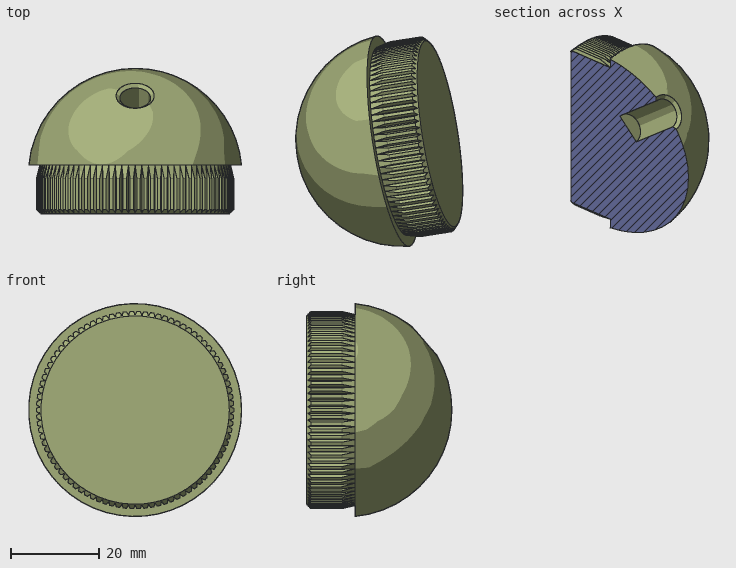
import cadquery as cq
import math

rim_radius = 24.15
dome_height = 22.0
plug_length = 11.0

tooth_tip_radius = 22.35
neck_taper_length = 3.0
end_chamfer = 1.0

groove_count = 90
groove_depth = 0.72
groove_angle = 59.0
cutter_overreach = 2.0

hole_tilt = 41.0
hole_diameter = 6.95
hole_depth = 14.5
countersink_diameter = 8.65
countersink_angle = 104.0

sphere_radius = (rim_radius**2 + dome_height**2) / (2 * dome_height)
sphere_center_y = dome_height - sphere_radius
root_radius = tooth_tip_radius - groove_depth


def make_body():
    """Revolve the dome and the plain plug as one profile about the Y axis."""
    arc_angle = 0.5 * math.atan2(rim_radius, -sphere_center_y)
    arc_middle = (
        sphere_radius * math.sin(arc_angle),
        sphere_center_y + sphere_radius * math.cos(arc_angle),
    )
    return (
        cq.Workplane("XY")
        .moveTo(0, -plug_length)
        .lineTo(tooth_tip_radius - end_chamfer, -plug_length)
        .lineTo(tooth_tip_radius, end_chamfer - plug_length)
        .lineTo(tooth_tip_radius, -neck_taper_length)
        .lineTo(root_radius, 0)
        .lineTo(rim_radius, 0)
        .threePointArc(arc_middle, (0, dome_height))
        .close()
        .revolve(360, (0, 0, 0), (0, 1, 0))
    )


def make_grooves():
    """Return V-shaped cutters running along the plug, the first one at +Z."""
    cutter_height = cutter_overreach * groove_depth
    cutter_half_width = cutter_height * math.tan(math.radians(groove_angle / 2))
    cutter = (
        cq.Workplane("XZ")
        .moveTo(0, root_radius)
        .lineTo(cutter_half_width, root_radius + cutter_height)
        .lineTo(-cutter_half_width, root_radius + cutter_height)
        .close()
        .extrude(plug_length)
        .val()
    )
    pitch_angle = 360 / groove_count
    return [
        cutter.rotate((0, 0, 0), (0, 1, 0), index * pitch_angle)
        for index in range(groove_count)
    ]


def make_angled_hole():
    """Return the countersunk hole cutter, tilted from +Y towards +Z."""
    hole_radius = hole_diameter / 2
    countersink_radius = countersink_diameter / 2
    slope = math.tan(math.radians(countersink_angle / 2))
    mouth = math.sqrt(sphere_radius**2 - countersink_radius**2)
    seat = mouth - (countersink_radius - hole_radius) / slope
    outer_radius = hole_radius + (sphere_radius - seat) * slope
    return (
        cq.Workplane("XY")
        .moveTo(0, sphere_radius - hole_depth)
        .lineTo(hole_radius, sphere_radius - hole_depth)
        .lineTo(hole_radius, seat)
        .lineTo(outer_radius, sphere_radius)
        .lineTo(0, sphere_radius)
        .close()
        .revolve(360, (0, 0, 0), (0, 1, 0))
        .rotate((0, 0, 0), (1, 0, 0), hole_tilt)
        .translate((0, sphere_center_y, 0))
    )


splined_body = cq.Workplane(make_body().val().cut(*make_grooves()))
result = splined_body.cut(make_angled_hole())